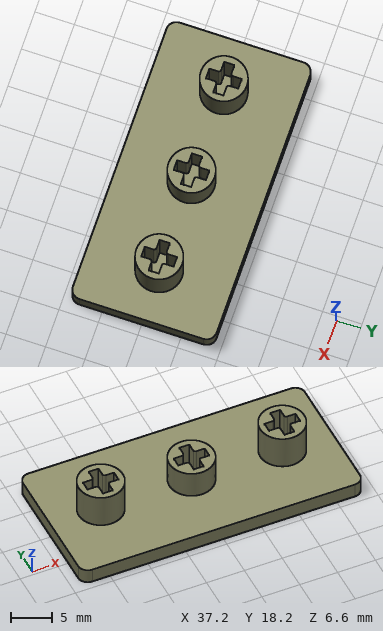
import cadquery as cq

plate_length = 37.25
plate_width = 18.2
plate_thickness = 2.0
corner_radius = 1.25

pin_diameter = 5.8
pin_spacing = 12.0
outer_pin_height = 4.6
middle_pin_height = 3.7

socket_span = 4.1
socket_arm_width = 1.3
socket_corner_radius = 0.3


def make_plate():
    """Rounded rectangular plate resting on Z = 0."""
    plate = cq.Workplane("XY").box(
        plate_length, plate_width, plate_thickness, centered=(True, True, False)
    )
    return plate.edges("|Z").fillet(corner_radius)


def make_socket(height):
    """Cross-shaped prism with rounded inner corners."""
    centered = (True, True, False)
    arm_x = cq.Workplane("XY").box(socket_span, socket_arm_width, height, centered=centered)
    arm_y = cq.Workplane("XY").box(socket_arm_width, socket_span, height, centered=centered)
    inner_corners = cq.selectors.BoxSelector(
        (-socket_arm_width, -socket_arm_width, 0),
        (socket_arm_width, socket_arm_width, height),
    )
    return arm_x.union(arm_y).edges("|Z").edges(inner_corners).fillet(socket_corner_radius)


def make_pin(height):
    """Round pin with a cross socket down to its base."""
    pin = cq.Workplane("XY").circle(pin_diameter / 2).extrude(height)
    return pin.cut(make_socket(height))


result = make_plate()
for x, height in (
    (-pin_spacing, outer_pin_height),
    (0, middle_pin_height),
    (pin_spacing, outer_pin_height),
):
    result = result.union(make_pin(height).translate((x, 0, plate_thickness)))